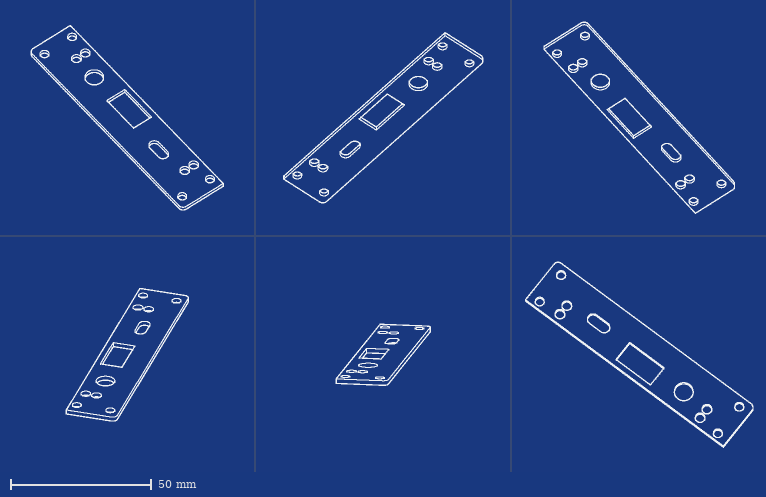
import cadquery as cq

length = 89.0
width = 18.5
thickness = 1.7
corner_radius = 1.8

corner_hole_diameter = 3.2
corner_hole_x = 40.05
corner_hole_rows = (3.5, 15.9)
inner_hole_diameter = 3.5
inner_hole_x = 31.5
inner_hole_rows = (11.2, 15.2)

round_opening_diameter = 6.7
round_opening_x = -21.0
round_opening_y = 11.1

window_length = 15.5
window_width = 8.0
window_x = -2.3
window_y = 12.4

slot_length = 9.0
slot_width = 4.0
slot_x = 18.5
slot_y = 9.5


def mirrored_points(x, rows):
    """Points on both sides of the plate middle, at every row."""
    return [(side * x, y) for side in (-1, 1) for y in rows]


def through_cutter(points, diameter):
    """Cylinders that pass through the full thickness."""
    return cq.Workplane("XY").pushPoints(points).circle(diameter / 2).extrude(thickness)


plate = (
    cq.Workplane("XY")
    .box(length, width, thickness, centered=(True, False, False))
    .edges("|Z and <Y")
    .fillet(corner_radius)
)

corner_holes = through_cutter(mirrored_points(corner_hole_x, corner_hole_rows), corner_hole_diameter)
inner_holes = through_cutter(mirrored_points(inner_hole_x, inner_hole_rows), inner_hole_diameter)
round_opening = through_cutter([(round_opening_x, round_opening_y)], round_opening_diameter)
window = (
    cq.Workplane("XY")
    .center(window_x, window_y)
    .rect(window_length, window_width)
    .extrude(thickness)
)
slot = (
    cq.Workplane("XY")
    .center(slot_x, slot_y)
    .slot2D(slot_length, slot_width)
    .extrude(thickness)
)

result = plate.cut(corner_holes).cut(inner_holes).cut(round_opening).cut(window).cut(slot)